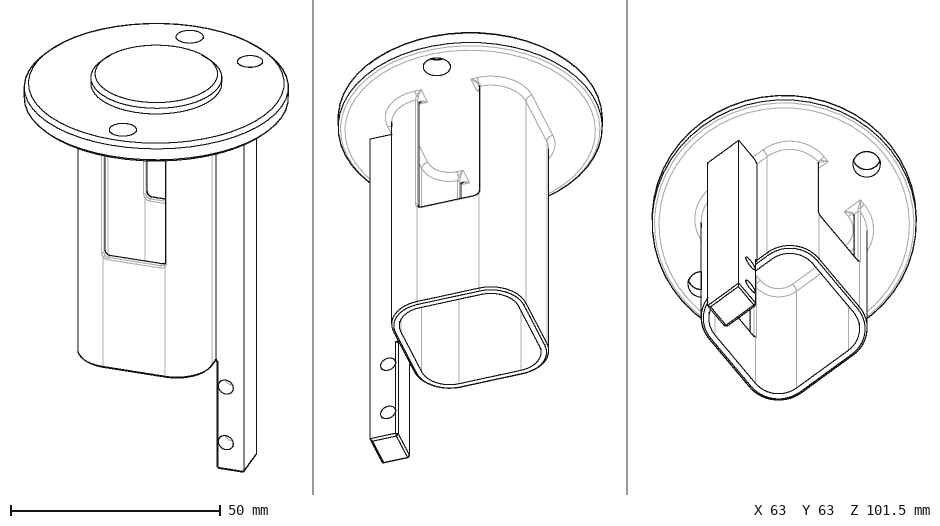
import cadquery as cq
import math

total_height = 101.5

cap_diameter = 31.3
cap_height = 2.5
cap_chamfer = 1.0

flange_diameter = 63.0
flange_thickness = 5.0
flange_chamfer = 1.0
flange_top = -cap_height
flange_bottom = flange_top - flange_thickness

hole_circle_radius = 25.0
bolt_hole_diameter = 6.5
bolt_hole_angles = (90, 270)
pin_hole_diameter = 6.0
pin_hole_depth = 3.0
pin_hole_angle = 45

body_width = 33.3
body_height = 65.0
body_corner_radius = 8.8
wall_thickness = 1.8
body_bottom_chamfer = 0.5
neck_fillet = 1.5
body_bottom = flange_bottom - body_height

window_width = 15.5
window_height = 35.0
window_corner_radius = 1.2
window_rim_radius = 0.4
window_bottom = flange_bottom - window_height

tolerance = 0.01

bar_thickness = 7.0
bar_width = 9.4
bar_chamfer = 0.5
bar_inner_x = body_width / 2
bar_hole_diameter = 3.8
bar_hole_inset = 2.4
bar_hole_x = bar_inner_x + bar_hole_inset
bar_hole_spacing = 15.0
bar_end_to_hole = 7.5
lowest_bar_hole_z = -total_height + bar_end_to_hole


def make_flange_and_body():
    """Flange disc and rounded square body, blended by a fillet at the neck."""
    flange = (
        cq.Workplane("XY", origin=(0, 0, flange_bottom))
        .circle(flange_diameter / 2)
        .extrude(flange_thickness)
        .edges()
        .chamfer(flange_chamfer)
    )
    body = (
        cq.Workplane("XY", origin=(0, 0, body_bottom))
        .rect(body_width, body_width)
        .extrude(body_height)
        .edges("|Z")
        .fillet(body_corner_radius)
        .faces("<Z")
        .chamfer(body_bottom_chamfer)
    )
    neck_reach = body_width / 2 + neck_fillet
    neck_zone = cq.selectors.BoxSelector(
        (-neck_reach, -neck_reach, flange_bottom - neck_fillet),
        (neck_reach, neck_reach, flange_bottom + neck_fillet / 2),
    )
    return flange.union(body).edges(neck_zone).fillet(neck_fillet)


def make_cavity():
    """Cutter that hollows the body into a tube open at the bottom and filleted under the flange."""
    cavity_width = body_width - 2 * wall_thickness
    return (
        cq.Workplane("XY", origin=(0, 0, body_bottom))
        .rect(cavity_width, cavity_width)
        .extrude(body_height)
        .edges("|Z")
        .fillet(body_corner_radius - wall_thickness)
        .faces(">Z")
        .edges()
        .fillet(neck_fillet)
    )


def make_window():
    """Cutter for the window, flared under the flange by rounding its top corners like the neck."""
    return (
        cq.Workplane("XY", origin=(0, 0, window_bottom))
        .box(window_width, 2 * body_width, window_height, centered=(True, True, False))
        .edges("|Y and <Z")
        .fillet(window_corner_radius)
        .edges("|Y and >Z")
        .fillet(neck_fillet)
    )


def round_window_rims(part, wall_face_y):
    """Round the window rim lying in the wall face at this distance either side of the XZ plane."""
    reach_x = window_width / 2 + tolerance
    for y in (-wall_face_y, wall_face_y):
        rim_zone = cq.selectors.BoxSelector(
            (-reach_x, y - tolerance, window_bottom - tolerance),
            (reach_x, y + tolerance, flange_bottom - neck_fillet),
        )
        part = part.edges(rim_zone).fillet(window_rim_radius)
    return part


def make_cap():
    return (
        cq.Workplane("XY", origin=(0, 0, flange_top))
        .circle(cap_diameter / 2)
        .extrude(cap_height)
        .faces(">Z")
        .edges()
        .chamfer(cap_chamfer)
    )


def make_bar():
    """Bar with two cross holes; below the body its inner upright edges and free end are chamfered."""
    upper_bar = (
        cq.Workplane("XY", origin=(bar_inner_x, 0, body_bottom))
        .box(bar_thickness, bar_width, body_height, centered=(False, True, False))
    )
    free_length = total_height + body_bottom
    free_bar = (
        cq.Workplane("XY", origin=(bar_inner_x, 0, -total_height))
        .box(bar_thickness, bar_width, free_length, centered=(False, True, False))
        .edges("(|Z and <X) or <Z")
        .chamfer(bar_chamfer)
    )
    holes = (
        cq.Workplane("XZ", origin=(bar_hole_x, 0, lowest_bar_hole_z))
        .pushPoints([(0, 0), (0, bar_hole_spacing)])
        .circle(bar_hole_diameter / 2)
        .extrude(bar_width, both=True)
    )
    return upper_bar.union(free_bar).cut(holes)


def make_flange_hole(angle, diameter, depth):
    """Cutter for a round hole sunk from the top of the flange."""
    x = hole_circle_radius * math.cos(math.radians(angle))
    y = hole_circle_radius * math.sin(math.radians(angle))
    return cq.Workplane("XY", origin=(x, y, flange_top)).circle(diameter / 2).extrude(-depth)


result = make_flange_and_body().cut(make_cavity()).cut(make_window())
result = round_window_rims(result, body_width / 2)
result = round_window_rims(result, body_width / 2 - wall_thickness)
result = result.union(make_cap()).union(make_bar())
for bolt_hole_angle in bolt_hole_angles:
    result = result.cut(make_flange_hole(bolt_hole_angle, bolt_hole_diameter, flange_thickness))
result = result.cut(make_flange_hole(pin_hole_angle, pin_hole_diameter, pin_hole_depth))